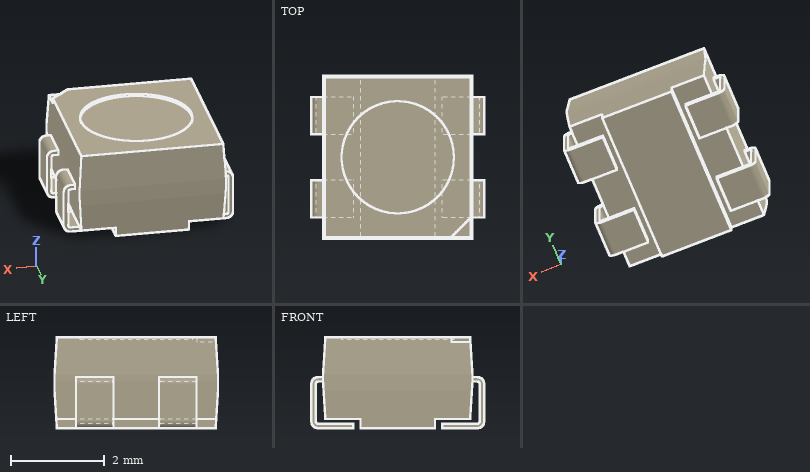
import cadquery as cq

overall_x = 3.7
overall_z = 1.95

body_x = 3.2
body_y = 3.5
top_x = 3.1
draft_inset = (body_x - top_x) / 2
draft_height = 0.8
body_bottom_z = 0.2
band_top_z = overall_z - draft_height
end_band_bottom_z = body_bottom_z + draft_height
side_band_bottom_z = draft_height

pad_x = 1.6

window_diameter = 2.4
window_depth = 0.05

mark_leg = 0.4
mark_depth = 0.1

lead_thickness = 0.1
lead_width = 0.8
lead_pitch = 1.78
lead_top_z = 1.1
lead_foot = 0.9
bend_inner_radius = lead_thickness / 2
bend_outer_radius = bend_inner_radius + lead_thickness
lead_embed = 0.1

top_half_x = top_x / 2
top_half_y = body_y / 2 - draft_inset


def mirrored_prism(plane, half_outline, length):
    """Prism, centred on the origin, from one half of an outline symmetric about the Z axis."""
    other_half = [(-across, z) for across, z in reversed(half_outline)]
    return cq.Workplane(plane).polyline(half_outline + other_half).close().extrude(length / 2, both=True)


def make_body():
    """Common volume of the end outline (with the pad) and the side outline."""
    half_end_outline = [
        (pad_x / 2, 0),
        (pad_x / 2, body_bottom_z),
        (top_half_x, body_bottom_z),
        (body_x / 2, end_band_bottom_z),
        (body_x / 2, band_top_z),
        (top_half_x, overall_z),
    ]
    half_side_outline = [
        (top_half_y, 0),
        (body_y / 2, side_band_bottom_z),
        (body_y / 2, band_top_z),
        (top_half_y, overall_z),
    ]
    end_prism = mirrored_prism("XZ", half_end_outline, body_y)
    side_prism = mirrored_prism("YZ", half_side_outline, body_x)
    return end_prism.intersect(side_prism)


def make_window():
    """Shallow round recess in the top face."""
    return (
        cq.Workplane("XY")
        .workplane(offset=overall_z - window_depth)
        .circle(window_diameter / 2)
        .extrude(window_depth)
    )


def make_corner_mark():
    """Cutter for the +X, -Y corner; its diagonal face meets the top edges mark_leg from the corner."""
    reach = mark_leg + 2 * draft_inset
    corner_x = top_half_x + draft_inset
    corner_y = -top_half_y - draft_inset
    return (
        cq.Workplane("XY")
        .workplane(offset=overall_z - mark_depth)
        .polyline([(corner_x, corner_y), (corner_x, corner_y + reach), (corner_x - reach, corner_y)])
        .close()
        .extrude(mark_depth)
    )


def make_lead(center_y):
    """C-shaped lead on the -X side: out of the body, down, and back under it."""
    outer_x = -overall_x / 2
    buried_x = -body_x / 2 + lead_embed
    shell = (
        cq.Workplane("XZ", origin=(outer_x, center_y, 0))
        .rect(lead_foot, lead_top_z, centered=False)
        .extrude(lead_width / 2, both=True)
        .edges("|Y and <X")
        .fillet(bend_outer_radius)
    )
    opening = (
        cq.Workplane("XZ", origin=(outer_x + lead_thickness, center_y, lead_thickness))
        .rect(lead_foot, lead_top_z - 2 * lead_thickness, centered=False)
        .extrude(lead_width / 2, both=True)
        .edges("|Y and <X")
        .fillet(bend_inner_radius)
    )
    buried_length = outer_x + lead_foot - buried_x
    trim = (
        cq.Workplane("XZ", origin=(buried_x, center_y, lead_top_z - lead_thickness))
        .rect(buried_length, lead_thickness, centered=False)
        .extrude(lead_width / 2, both=True)
    )
    return shell.cut(opening).cut(trim)


result = make_body().cut(make_window()).cut(make_corner_mark())
for center_y in (-lead_pitch / 2, lead_pitch / 2):
    lead = make_lead(center_y)
    result = result.union(lead).union(lead.mirror("YZ"))